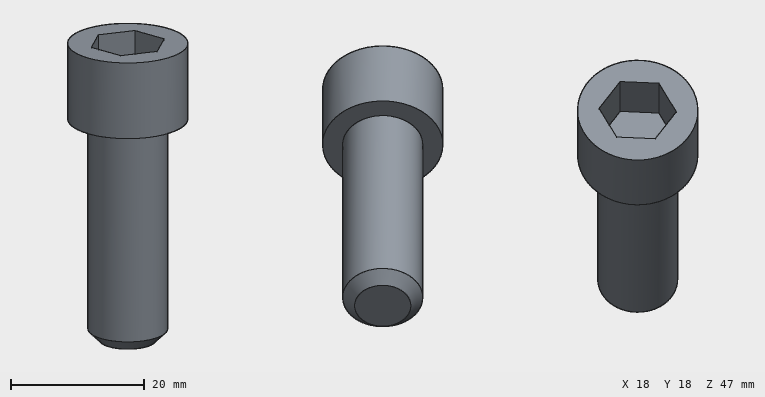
import cadquery as cq
import math

total_length = 47.0
head_diameter = 18.0
head_height = 12.0
shank_diameter = 12.0
tip_chamfer = 1.8
socket_across_flats = 10.0
socket_depth = 8.0

shank_length = total_length - head_height


def make_head():
    return cq.Workplane("XY").circle(head_diameter / 2).extrude(head_height)


def make_shank():
    shank = cq.Workplane("XY").circle(shank_diameter / 2).extrude(-shank_length)
    return shank.faces("<Z").chamfer(tip_chamfer)


def make_socket():
    across_corners = socket_across_flats / math.cos(math.pi / 6)
    top = cq.Workplane("XY").workplane(offset=head_height)
    return top.polygon(6, across_corners).extrude(-socket_depth)


result = make_head().union(make_shank()).cut(make_socket())